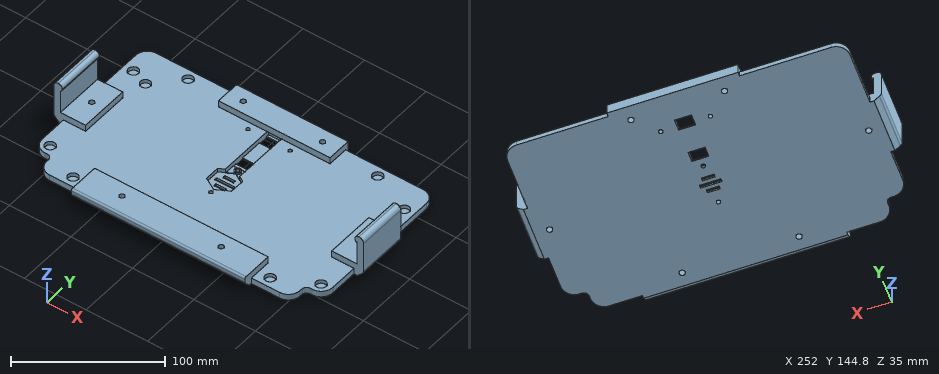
import cadquery as cq
import math

plate_half_x = 118.2
plate_half_y = 67.5
plate_thickness = 5.0
corner_radius = 9.5
notch_size = 15.0
notch_inner_radius = 3.8

rail_top = 10.3
outer_chamfer = 5.0
chamfer_blend_radius = 4.3
screw_diameter = 4.0

back_rail_length = 90.7
back_rail_inner_y = 50.7
back_rail_outer_y = 70.3
back_screw_x = 32.3

front_rail_length = 141.0
front_rail_inner_y = -49.5
front_rail_outer_y = -74.5
front_rail_top_radius = 1.5
front_screw_x = 40.3
rail_screw_y = 60.0

clamp_outer_x = 126.0
clamp_foot_length = 26.0
clamp_width = 40.0
clamp_height = 35.0
clamp_wall = 5.5
lip_width = 7.0
lip_radius = 3.3
clamp_screw_x = 110.0

pocket_diameter = 8.0
pocket_depth = 3.0
side_pocket_y = 44.9
back_pocket_x = 77.0
front_pocket_x = 80.1
spare_pocket_position = (-96.5, 39.8)

channel_width = 11.5
channel_depth = 3.8
channel_back_y = 52.2
back_window_outer_y = 50.1
back_window_inner_y = 42.3
front_window_outer_y = 24.2
front_window_inner_y = 17.1

landing_back_y = 14.4
landing_depth = 3.5
landing_z = plate_thickness - landing_depth

hexagon_y = -2.8
hexagon_flats = 20.5
hexagon_depth = 3.0
slit_height = 2.0
slit_pitch = 4.8
short_slit_length = 8.5
long_slit_length = 14.5

boss_diameter = 5.0
boss_height = 1.3
boss_y = 11.3
small_hole_diameter = 2.8
small_hole_positions = [(-17.1, 45.0), (17.1, 45.0), (0, -17.6)]


def block(x_min, x_max, y_min, y_max, z_min, z_max):
    size = (x_max - x_min, y_max - y_min, z_max - z_min)
    return cq.Workplane("XY").box(*size, centered=False).translate((x_min, y_min, z_min))


def cylinders(positions, diameter, z_min, z_max):
    plane = cq.Workplane("XY", origin=(0, 0, z_min))
    return plane.pushPoints(positions).circle(diameter / 2).extrude(z_max - z_min)


def make_plate():
    plate = block(-plate_half_x, plate_half_x, -plate_half_y, plate_half_y, 0, plate_thickness)
    inner_x = plate_half_x - notch_size
    inner_y = -plate_half_y + notch_size
    for side in (-1, 1):
        x_min, x_max = sorted((side * inner_x, side * plate_half_x))
        plate = plate.cut(block(x_min, x_max, -plate_half_y, inner_y, 0, plate_thickness))
        inner_corner = cq.selectors.NearestToPointSelector((side * inner_x, inner_y, plate_thickness / 2))
        plate = plate.edges("|Z").edges(inner_corner).fillet(notch_inner_radius)
    for corners in ("<X or >X", "<Y or >Y"):
        plate = plate.edges("|Z").edges(corners).fillet(corner_radius)
    return plate


def make_back_rail():
    half = back_rail_length / 2
    upper = block(-half, half, back_rail_inner_y, back_rail_outer_y, plate_thickness, rail_top)
    rim = block(-half, half, plate_half_y, back_rail_outer_y, 0, rail_top)
    return upper.union(rim)


def make_front_rail():
    profile = (
        cq.Workplane("YZ", origin=(-front_rail_length / 2, 0, 0))
        .moveTo(front_rail_inner_y, plate_thickness)
        .lineTo(front_rail_inner_y, rail_top)
        .lineTo(front_rail_outer_y, rail_top)
        .lineTo(front_rail_outer_y, outer_chamfer)
        .lineTo(front_rail_outer_y + outer_chamfer, 0)
        .lineTo(-plate_half_y, 0)
        .lineTo(-plate_half_y, plate_thickness)
        .close()
    )
    rail = profile.extrude(front_rail_length)
    outer_corner = cq.selectors.NearestToPointSelector((0, front_rail_outer_y, outer_chamfer))
    rail = rail.edges(outer_corner).fillet(chamfer_blend_radius)
    return rail.edges("|X").edges(">Z").edges("<Y").fillet(front_rail_top_radius)


def make_clamp():
    """Clamp on the +X side: foot, upright wall and a rounded lip leaning inward."""
    foot_x = clamp_outer_x - clamp_foot_length
    wall_x = clamp_outer_x - clamp_wall
    lip_tip_x = clamp_outer_x - lip_width
    lip_center_x = lip_tip_x + lip_radius
    lip_center_z = clamp_height - lip_radius
    lip_back_z = clamp_height - (clamp_outer_x - lip_center_x)
    lip_root_z = lip_center_z - math.sqrt(lip_radius**2 - (wall_x - lip_center_x) ** 2)
    profile = (
        cq.Workplane("XZ", origin=(0, clamp_width / 2, 0))
        .moveTo(plate_half_x, plate_thickness)
        .lineTo(plate_half_x, 0)
        .lineTo(clamp_outer_x - outer_chamfer, 0)
        .lineTo(clamp_outer_x, outer_chamfer)
        .lineTo(clamp_outer_x, lip_back_z)
        .tangentArcPoint((lip_center_x, clamp_height), relative=False)
        .threePointArc((lip_tip_x, lip_center_z), (wall_x, lip_root_z))
        .lineTo(wall_x, rail_top)
        .lineTo(foot_x, rail_top)
        .lineTo(foot_x, plate_thickness)
        .close()
    )
    clamp = profile.extrude(clamp_width)
    outer_corner = cq.selectors.NearestToPointSelector((clamp_outer_x, 0, outer_chamfer))
    return clamp.edges(outer_corner).fillet(chamfer_blend_radius)


def make_screw_holes():
    positions = []
    for side in (-1, 1):
        positions.append((side * back_screw_x, rail_screw_y))
        positions.append((side * front_screw_x, -rail_screw_y))
        positions.append((side * clamp_screw_x, 0))
    return cylinders(positions, screw_diameter, 0, rail_top)


def make_rim_pockets():
    positions = [spare_pocket_position]
    for side in (-1, 1):
        positions.append((side * clamp_screw_x, side_pocket_y))
        positions.append((side * clamp_screw_x, -side_pocket_y))
        positions.append((side * back_pocket_x, rail_screw_y))
        positions.append((side * front_pocket_x, -rail_screw_y))
    return cylinders(positions, pocket_diameter, plate_thickness - pocket_depth, plate_thickness)


def make_hexagon(z_min, z_max):
    """Hexagonal prism with one corner pointing along +Y."""
    corner_diameter = hexagon_flats / math.cos(math.pi / 6)
    hexagon = cq.Workplane("XY").polygon(6, corner_diameter).extrude(z_max - z_min)
    return hexagon.rotate((0, 0, 0), (0, 0, 1), 30).translate((0, hexagon_y, z_min))


def make_channel():
    """Channel, its two windows through the plate, and the landing up to the hexagon."""
    half = channel_width / 2
    channel_z = plate_thickness - channel_depth
    channel = block(-half, half, landing_back_y, channel_back_y, channel_z, plate_thickness)
    landing = block(-half, half, hexagon_y, landing_back_y, landing_z, plate_thickness)
    landing = landing.cut(make_hexagon(0, plate_thickness))
    back_window = block(-half, half, back_window_inner_y, back_window_outer_y, 0, plate_thickness)
    front_window = block(-half, half, front_window_inner_y, front_window_outer_y, 0, plate_thickness)
    return channel.union(landing).union(back_window).union(front_window)


def make_slit(length, y):
    half_length = length / 2
    half_height = slit_height / 2
    return block(-half_length, half_length, y - half_height, y + half_height, 0, plate_thickness)


def make_slits():
    slits = make_slit(long_slit_length, hexagon_y)
    for side in (-1, 1):
        slits = slits.union(make_slit(short_slit_length, hexagon_y + side * slit_pitch))
    return slits


def make_small_holes():
    positions = small_hole_positions + [(0, boss_y)]
    return cylinders(positions, small_hole_diameter, 0, plate_thickness)


def make_boss():
    return cylinders([(0, boss_y)], boss_diameter, landing_z, landing_z + boss_height)


right_clamp = make_clamp()
left_clamp = right_clamp.mirror("YZ")
hexagon_pocket = make_hexagon(plate_thickness - hexagon_depth, plate_thickness)
plate = make_plate().cut(make_channel()).cut(hexagon_pocket)
result = plate.union(make_boss()).union(make_back_rail()).union(make_front_rail())
result = result.union(right_clamp).union(left_clamp)
result = result.cut(make_screw_holes()).cut(make_rim_pockets())
result = result.cut(make_slits()).cut(make_small_holes())